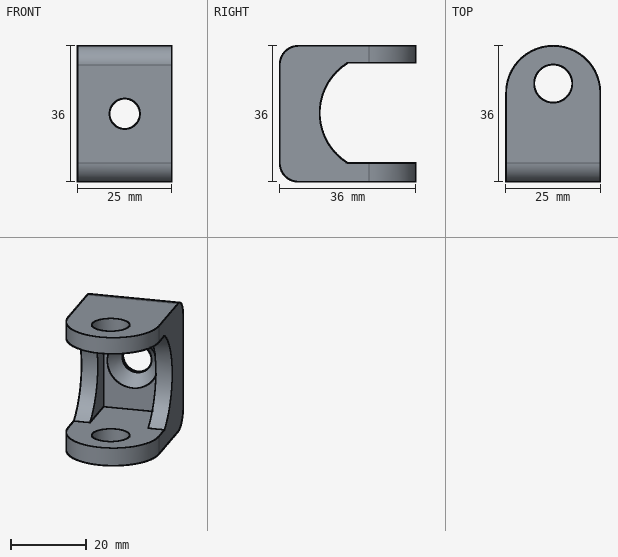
import cadquery as cq

width = 25.0
depth = 36.0
height = 36.0

top_arm_thickness = 4.57
bottom_arm_thickness = 5.0
corner_radius = 5.0
end_radius = width / 2
arc_start_y = depth / 2
web_thickness = 10.62

pin_hole_diameter = 10.0
pin_hole_y = depth - pin_hole_diameter
mount_hole_diameter = 8.0

pocket_width = 2 * mount_hole_diameter
pocket_floor_y = 5.0
seat_start_y = 1.0
seat_diameter = 13.95

gap_bottom = bottom_arm_thickness
gap_top = height - top_arm_thickness
gap_middle = (gap_bottom + gap_top) / 2


def make_body():
    """Block with rounded front edges and semicircular arm ends."""
    block = (
        cq.Workplane("XY")
        .box(width, depth, height, centered=(True, False, False))
        .edges("|X and <Y")
        .fillet(corner_radius)
    )
    plan = (
        cq.Workplane("XY")
        .moveTo(-width / 2, 0)
        .lineTo(width / 2, 0)
        .lineTo(width / 2, depth - end_radius)
        .threePointArc((0, depth), (-width / 2, depth - end_radius))
        .close()
        .extrude(height)
    )
    return block.intersect(plan)


def make_gap():
    """Opening between the arms, ending in an arc at the web."""
    return (
        cq.Workplane("YZ")
        .moveTo(depth, gap_bottom)
        .lineTo(arc_start_y, gap_bottom)
        .threePointArc((web_thickness, gap_middle), (arc_start_y, gap_top))
        .lineTo(depth, gap_top)
        .close()
        .extrude(width / 2, both=True)
    )


def make_pin_hole():
    """Vertical hole through both arms."""
    return (
        cq.Workplane("XY")
        .center(0, pin_hole_y)
        .circle(pin_hole_diameter / 2)
        .extrude(height)
    )


def make_mount_hole():
    """Horizontal hole through the web."""
    return (
        cq.Workplane("XZ")
        .center(0, height / 2)
        .circle(mount_hole_diameter / 2)
        .extrude(-depth)
    )


def make_pocket():
    """Deeper pocket in the web, leaving a solid cheek on each side."""
    return (
        cq.Workplane("XY")
        .workplane(offset=gap_bottom)
        .moveTo(0, (pocket_floor_y + depth) / 2)
        .rect(pocket_width, depth - pocket_floor_y)
        .extrude(gap_top - gap_bottom)
    )


def make_seat():
    """Conical seat widening from the mounting hole to the pocket floor."""
    cone = cq.Solid.makeCone(
        mount_hole_diameter / 2,
        seat_diameter / 2,
        pocket_floor_y - seat_start_y,
        cq.Vector(0, seat_start_y, height / 2),
        cq.Vector(0, 1, 0),
    )
    return cq.Workplane(cone)


result = (
    make_body()
    .cut(make_gap())
    .cut(make_pocket())
    .cut(make_pin_hole())
    .cut(make_mount_hole())
    .cut(make_seat())
)